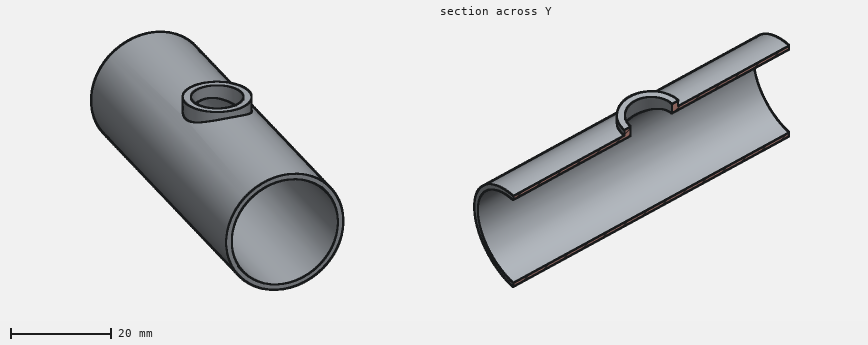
import cadquery as cq

tube_length = 70.0
tube_outer_diameter = 25.4
tube_bore_diameter = 23.0

collar_outer_diameter = 13.8
collar_bore_diameter = 10.5
collar_rise = 1.5
collar_top = tube_outer_diameter / 2 + collar_rise


def tube_cylinder(diameter):
    """Solid cylinder along X over the full tube length."""
    return cq.Workplane("YZ").circle(diameter / 2).extrude(tube_length / 2, both=True)


def collar_cylinder(diameter):
    """Solid cylinder along Z from the tube axis up to the collar rim."""
    return cq.Workplane("XY").circle(diameter / 2).extrude(collar_top)


outside = tube_cylinder(tube_outer_diameter).union(collar_cylinder(collar_outer_diameter))
result = outside.cut(tube_cylinder(tube_bore_diameter)).cut(collar_cylinder(collar_bore_diameter))